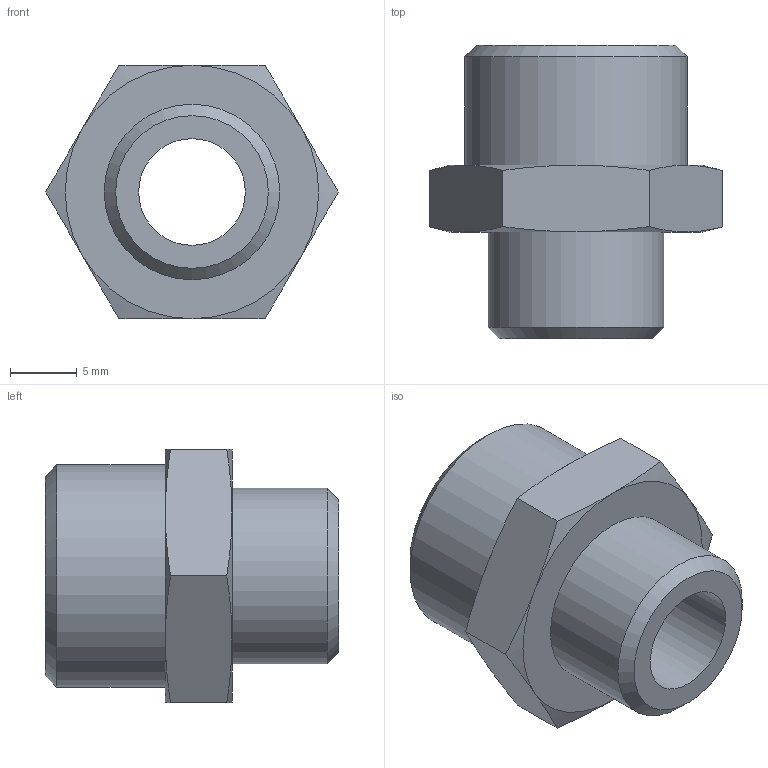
import cadquery as cq
import math

hex_sides = 6
hex_across_flats = 19.0
hex_length = 5.0
hex_chamfer_angle = 15.0

small_diameter = 13.16
small_length = 8.0
large_diameter = 16.66
large_length = 9.0
end_chamfer = 0.856

bore_diameter = 8.0

hex_across_corners = hex_across_flats / math.cos(math.pi / hex_sides)
hex_corner_drop = (hex_across_corners - hex_across_flats) / 2 * math.tan(math.radians(hex_chamfer_angle))
spigot_step_y = hex_length / 2
small_end_y = -small_length
large_end_y = hex_length + large_length


def revolve_profile(points):
    """Revolve a closed (radius, y) outline about the Y axis."""
    return cq.Workplane("XY").polyline(points).close().revolve(360, (0, 0, 0), (0, 1, 0))


def make_hexagon():
    """Hexagon with flats facing +Z and -Z and both faces coned down to the flats."""
    prism = cq.Workplane("XZ").polygon(hex_sides, hex_across_corners).extrude(-hex_length)
    face_radius = hex_across_flats / 2
    corner_radius = hex_across_corners / 2
    cone_envelope = revolve_profile([
        (0, 0),
        (face_radius, 0),
        (corner_radius, hex_corner_drop),
        (corner_radius, hex_length - hex_corner_drop),
        (face_radius, hex_length),
        (0, hex_length),
    ])
    return prism.intersect(cone_envelope)


def make_spigots():
    """Small and large cylinders on one axis, chamfered at their free ends."""
    small_radius = small_diameter / 2
    large_radius = large_diameter / 2
    return revolve_profile([
        (0, small_end_y),
        (small_radius - end_chamfer, small_end_y),
        (small_radius, small_end_y + end_chamfer),
        (small_radius, spigot_step_y),
        (large_radius, spigot_step_y),
        (large_radius, large_end_y - end_chamfer),
        (large_radius - end_chamfer, large_end_y),
        (0, large_end_y),
    ])


def make_bore():
    """Plain bore through the full length."""
    bore = cq.Workplane("XZ", origin=(0, large_end_y, 0)).circle(bore_diameter / 2)
    return bore.extrude(large_end_y - small_end_y)


result = make_hexagon().union(make_spigots()).cut(make_bore())